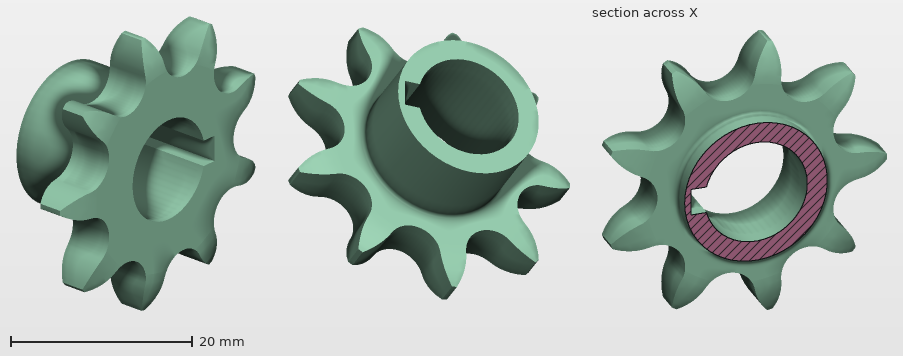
import cadquery as cq
import math

tooth_count = 9
pitch_radius = 13.92
seat_radius = 3.15
tip_radius = 16.7

flank_start = (12.95, 1.58)
flank_middle = (15.15, 1.12)
tip_half_width = 0.3

total_length = 15.0
disc_thickness = 5.35
hub_length = total_length - disc_thickness
hub_radius = 8.4
hub_fillet = 0.4

relief_start_radius = 12.05
relief_depth = 1.22
blank_margin = 0.33

bore_radius = 6.0
keyway_width = 3.07
keyway_reach = 7.6


def tooth_point(index, radial, across):
    """Place a tooth point in the YZ plane; tooth 0 points along -Y."""
    angle = math.pi + index * 2 * math.pi / tooth_count
    y = radial * math.cos(angle) - across * math.sin(angle)
    z = radial * math.sin(angle) + across * math.cos(angle)
    return y, z


def make_toothed_prism():
    """Extrude the tooth outline well past both faces of the disc."""
    tip_corner_radial = math.sqrt(tip_radius**2 - tip_half_width**2)
    start_radial, start_across = flank_start
    middle_radial, middle_across = flank_middle
    root_radius = pitch_radius - seat_radius

    outline = cq.Workplane("YZ")
    outline = outline.moveTo(*tooth_point(0, start_radial, -start_across))
    for i in range(tooth_count):
        outline = (
            outline
            .threePointArc(
                tooth_point(i, middle_radial, -middle_across),
                tooth_point(i, tip_corner_radial, -tip_half_width),
            )
            .threePointArc(
                tooth_point(i, tip_radius, 0),
                tooth_point(i, tip_corner_radial, tip_half_width),
            )
            .threePointArc(
                tooth_point(i, middle_radial, middle_across),
                tooth_point(i, start_radial, start_across),
            )
            .threePointArc(
                tooth_point(i + 0.5, root_radius, 0),
                tooth_point(i + 1, start_radial, -start_across),
            )
        )
    return outline.close().extrude(total_length + disc_thickness)


def make_relieved_disc():
    """Revolve a disc whose faces curve away tangentially beyond the relief radius."""
    relief_height = tip_radius - relief_start_radius
    curve_radius = (relief_height**2 + relief_depth**2) / (2 * relief_depth)
    blank_radius = tip_radius + blank_margin
    end_angle = math.asin((blank_radius - relief_start_radius) / curve_radius)
    end_depth = curve_radius * (1 - math.cos(end_angle))
    half_angle = end_angle / 2
    middle_depth = curve_radius * (1 - math.cos(half_angle))
    middle_radius = relief_start_radius + curve_radius * math.sin(half_angle)

    return (
        cq.Workplane("XY")
        .moveTo(hub_length, 0)
        .lineTo(hub_length, relief_start_radius)
        .threePointArc(
            (hub_length + middle_depth, middle_radius),
            (hub_length + end_depth, blank_radius),
        )
        .lineTo(total_length - end_depth, blank_radius)
        .threePointArc(
            (total_length - middle_depth, middle_radius),
            (total_length, relief_start_radius),
        )
        .lineTo(total_length, 0)
        .close()
        .revolve(360, (0, 0, 0), (1, 0, 0))
    )


def make_hub():
    """Revolve the hub with a concave fillet where it meets the disc."""
    fillet_diagonal = hub_fillet * (1 - math.sqrt(0.5))
    return (
        cq.Workplane("XY")
        .lineTo(0, hub_radius)
        .lineTo(hub_length - hub_fillet, hub_radius)
        .threePointArc(
            (hub_length - fillet_diagonal, hub_radius + fillet_diagonal),
            (hub_length, hub_radius + hub_fillet),
        )
        .lineTo(total_length, hub_radius + hub_fillet)
        .lineTo(total_length, 0)
        .close()
        .revolve(360, (0, 0, 0), (1, 0, 0))
    )


def make_bore():
    """Through bore with a rectangular keyway on the +Y side."""
    bore = cq.Workplane("YZ").circle(bore_radius).extrude(total_length)
    keyway = (
        cq.Workplane("YZ")
        .center(keyway_reach / 2, 0)
        .rect(keyway_reach, keyway_width)
        .extrude(total_length)
    )
    return bore.union(keyway)


toothed_disc = make_toothed_prism().intersect(make_relieved_disc())
result = toothed_disc.union(make_hub()).cut(make_bore())